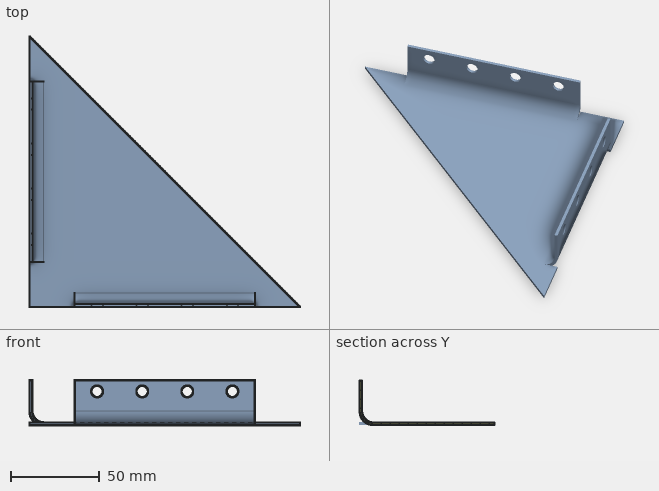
import cadquery as cq

side = 152.5
height = 25.5
thickness = 1.7
bend_radius = 8.0
flange_start = side / 6
hole_count = 4
hole_diameter = 6.4
hole_drop = 6.4

flange_length = side - 2 * flange_start
hole_pitch = flange_length / hole_count
inner_radius = bend_radius - thickness


def make_plate():
    """Right-triangle base with its square corner at the origin."""
    outline = cq.Workplane("XY").polyline([(0, 0), (side, 0), (0, side)]).close()
    return outline.extrude(thickness)


def make_bend_relief():
    """Strip cut from the plate where the sheet curves away from the X = 0 edge."""
    block = cq.Workplane("XY").box(bend_radius, flange_length, thickness, centered=False)
    return block.translate((0, flange_start, 0))


def make_flange():
    """Bent flange along the X = 0 edge with its row of holes."""
    profile = (
        cq.Workplane("XZ", origin=(0, flange_start, 0))
        .moveTo(bend_radius, 0)
        .radiusArc((0, bend_radius), bend_radius)
        .lineTo(0, height)
        .lineTo(thickness, height)
        .lineTo(thickness, bend_radius)
        .radiusArc((bend_radius, thickness), -inner_radius)
        .close()
    )
    flange = profile.extrude(-flange_length)
    first_hole = flange_start + hole_pitch / 2
    hole_places = [(first_hole + i * hole_pitch, height - hole_drop) for i in range(hole_count)]
    holes = cq.Workplane("YZ").pushPoints(hole_places).circle(hole_diameter / 2).extrude(thickness)
    return flange.cut(holes)


def swap_x_and_y(body):
    """Mirror across the vertical plane X = Y."""
    return body.mirror("YZ").rotate((0, 0, 0), (0, 0, 1), -90)


relief = make_bend_relief()
flange = make_flange()
plate = make_plate().cut(relief).cut(swap_x_and_y(relief))
result = plate.union(flange).union(swap_x_and_y(flange))